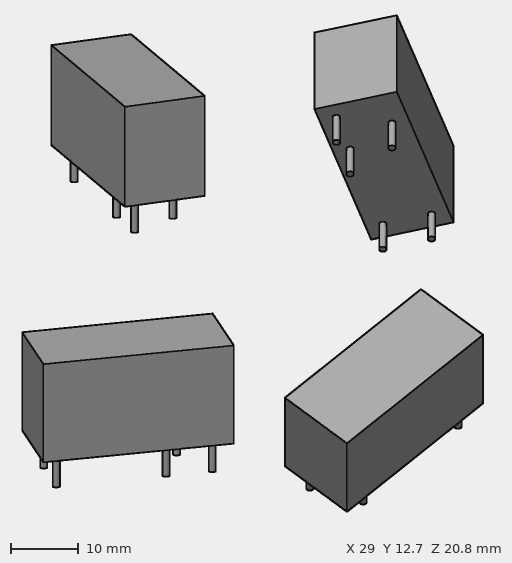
import cadquery as cq

housing_length = 29.0
housing_width = 12.7
housing_height = 15.7

total_height = 20.8
pin_length = total_height - housing_height
pin_diameter = 1.1
end_margin = 2.65
pin_pitch = 3.5
row_spacing = 7.5

left_pin_x = -housing_length / 2 + end_margin
right_pin_x = housing_length / 2 - end_margin
front_row_y = -row_spacing / 2
back_row_y = row_spacing / 2

pin_positions = [
    (left_pin_x, front_row_y),
    (left_pin_x, back_row_y),
    (right_pin_x - 2 * pin_pitch, front_row_y),
    (right_pin_x - pin_pitch, back_row_y),
    (right_pin_x, front_row_y),
]


def make_housing():
    """Plain block standing on Z = 0."""
    return cq.Workplane("XY").box(
        housing_length, housing_width, housing_height, centered=(True, True, False)
    )


def make_pin(x, y):
    """Round pin hanging from the underside of the housing."""
    return cq.Workplane("XY").center(x, y).circle(pin_diameter / 2).extrude(-pin_length)


housing = make_housing()
pins = [make_pin(x, y) for x, y in pin_positions]

result = cq.Compound.makeCompound([housing.val(), *[pin.val() for pin in pins]])